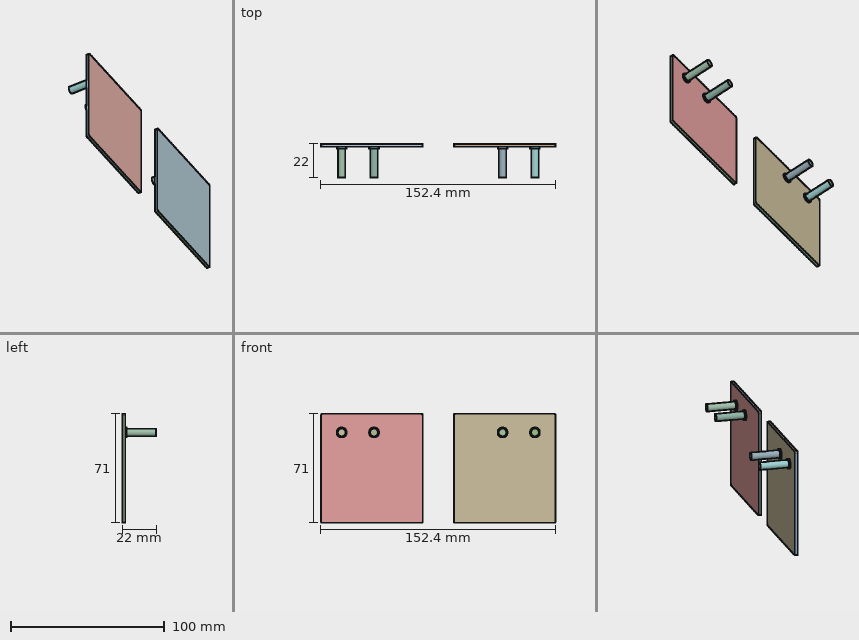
import cadquery as cq

overall_width = 152.4
overall_depth = 22.0

plate_width = 66.1
plate_height = 71.0
plate_thickness = 2.0
corner_radius = 1.0
plate_offset = (overall_width - plate_width) / 2

shank_diameter = 5.0
flange_diameter = 6.5
flange_thickness = 1.0
stud_length = overall_depth - plate_thickness
stud_spacing = 21.0
outer_edge_distance = 13.4
top_edge_distance = 12.2

outer_stud_x = overall_width / 2 - outer_edge_distance
inner_stud_x = outer_stud_x - stud_spacing
stud_z = plate_height / 2 - top_edge_distance


def make_plate(center_x):
    """Upright plate with rounded corners and its front face on Y = 0."""
    return (
        cq.Workplane("XY")
        .box(plate_width, plate_thickness, plate_height)
        .edges("|Y")
        .fillet(corner_radius)
        .translate((center_x, plate_thickness / 2, 0))
    )


def make_stud(center_x):
    """Round stud projecting toward -Y, with a flange seated on the plate."""
    return (
        cq.Workplane("XZ", origin=(center_x, 0, stud_z))
        .circle(flange_diameter / 2)
        .extrude(flange_thickness)
        .faces("<Y")
        .workplane()
        .circle(shank_diameter / 2)
        .extrude(stud_length - flange_thickness)
    )


plates = []
studs = []
for side in (-1, 1):
    plates.append(make_plate(side * plate_offset))
    for stud_x in (outer_stud_x, inner_stud_x):
        studs.append(make_stud(side * stud_x))

result = cq.Compound.makeCompound([body.val() for body in plates + studs])